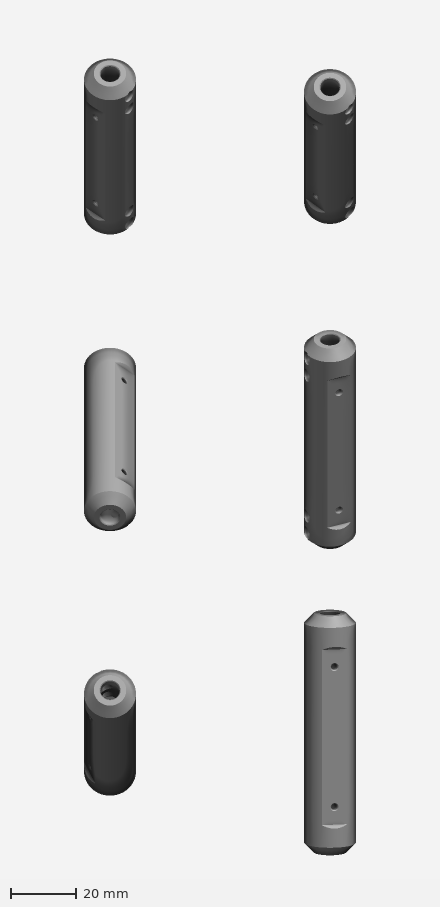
import cadquery as cq

length = 75.0
body_diameter = 16.0
end_chamfer = 3.0

bore_diameter = 3.7
counterbore_diameter = 6.0
counterbore_depth = 13.5
mouth_diameter = 6.5
mouth_chamfer = (mouth_diameter - counterbore_diameter) / 2

flat_distance = 7.0
flat_length = 55.0
body_radius = body_diameter / 2
flat_depth = body_radius - flat_distance

hole_diameter = 2.0
hole_mouth_diameter = 2.55
hole_spacing = 43.95
hole_chamfer = (hole_mouth_diameter - hole_diameter) / 2

side_hole_diameter = 4.2
side_hole_end_distance = 4.9
side_hole_spacing = 6.3
outer_hole_height = length / 2 - side_hole_end_distance
inner_hole_height = outer_hole_height - side_hole_spacing


def make_body():
    return (
        cq.Workplane("XY")
        .circle(body_radius)
        .extrude(length)
        .translate((0, 0, -length / 2))
        .faces("<Z or >Z")
        .chamfer(end_chamfer)
    )


def make_flat_cutter(side):
    """Trapezoid in YZ with 45 degree ends, wider towards the outside."""
    half_length = flat_length / 2
    inner = side * flat_distance
    outer = side * body_radius
    return (
        cq.Workplane("YZ")
        .polyline([
            (inner, -half_length),
            (outer, -half_length - flat_depth),
            (outer, half_length + flat_depth),
            (inner, half_length),
        ])
        .close()
        .extrude(body_radius, both=True)
    )


def make_bore():
    """Half section of the bore revolved about Z."""
    half = length / 2
    bore_radius = bore_diameter / 2
    counterbore_radius = counterbore_diameter / 2
    floor = half - counterbore_depth
    throat = half - mouth_chamfer
    return (
        cq.Workplane("XZ")
        .polyline([
            (0, -half),
            (mouth_diameter / 2, -half),
            (counterbore_radius, -throat),
            (counterbore_radius, -floor),
            (bore_radius, -floor),
            (bore_radius, floor),
            (counterbore_radius, floor),
            (counterbore_radius, throat),
            (mouth_diameter / 2, half),
            (0, half),
        ])
        .close()
        .revolve(360, (0, 0), (0, 1))
    )


def make_cross_hole(height):
    """Hole along Y with a small chamfer where it meets each flat."""
    radius = hole_diameter / 2
    mouth_radius = hole_mouth_diameter / 2
    throat = flat_distance - hole_chamfer
    return (
        cq.Workplane("XY")
        .polyline([
            (0, -flat_distance),
            (mouth_radius, -flat_distance),
            (radius, -throat),
            (radius, throat),
            (mouth_radius, flat_distance),
            (0, flat_distance),
        ])
        .close()
        .revolve(360, (0, 0), (0, 1))
        .translate((0, 0, height))
    )


def make_side_hole(height):
    """Radial hole from the axis out through the +X wall."""
    return (
        cq.Workplane("YZ")
        .center(0, height)
        .circle(side_hole_diameter / 2)
        .extrude(body_radius)
    )


result = make_body().cut(make_bore())
for side in (-1, 1):
    result = result.cut(make_flat_cutter(side))
for height in (-hole_spacing / 2, hole_spacing / 2):
    result = result.cut(make_cross_hole(height))
for height in (outer_hole_height, inner_hole_height):
    for end in (-1, 1):
        result = result.cut(make_side_hole(end * height))